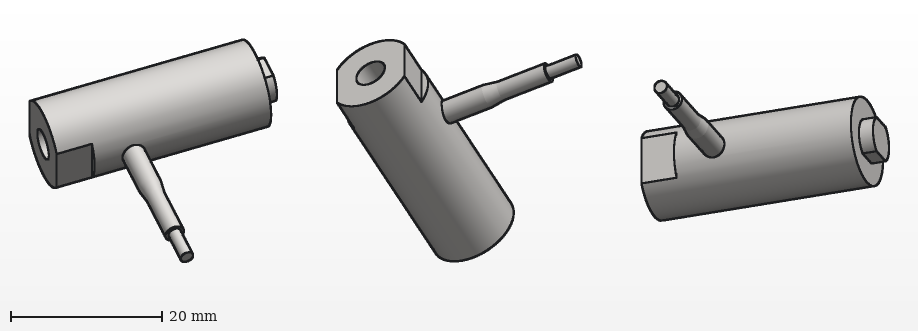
import cadquery as cq
import math

body_diameter = 12.0
body_length = 30.0
total_length = 32.0

wrench_width = 10.0
wrench_length = 5.0

stud_diameter = 6.0
stud_height = 5.0

hole_diameter = 4.22
hole_depth = 8.0
drill_point_angle = 118.0

cable_distance = 10.53
sleeve_diameter = 3.2
sleeve_end = 12.0
taper_end = 14.0
jacket_diameter = 2.62
jacket_end = 21.0
core_diameter = 1.8
core_end = 31.5 - body_diameter / 2

front_y = -total_length / 2
body_back_y = front_y + body_length


def cylinder_y(diameter, start_y, end_y):
    return (
        cq.Workplane("XZ", origin=(0, start_y, 0))
        .circle(diameter / 2)
        .extrude(start_y - end_y)
    )


def make_body():
    body = cylinder_y(body_diameter, front_y + wrench_length, body_back_y)
    wrench_end = cylinder_y(body_diameter, front_y, front_y + wrench_length)
    flats = cq.Workplane("XY").box(wrench_width, 2 * total_length, body_diameter)
    return body.union(wrench_end.intersect(flats))


def make_stud():
    stud = cylinder_y(stud_diameter, body_back_y, front_y + total_length)
    flats = cq.Workplane("XY").box(stud_diameter, 2 * total_length, stud_height)
    return stud.intersect(flats)


def make_hole():
    radius = hole_diameter / 2
    point_depth = radius / math.tan(math.radians(drill_point_angle / 2))
    bottom_y = front_y + hole_depth
    return (
        cq.Workplane("XY")
        .moveTo(0, front_y)
        .lineTo(radius, front_y)
        .lineTo(radius, bottom_y)
        .lineTo(0, bottom_y + point_depth)
        .close()
        .revolve(360, (0, 0, 0), (0, 1, 0))
    )


def make_cable():
    sleeve_start = (hole_diameter + body_diameter) / 4
    return (
        cq.Workplane("XY")
        .moveTo(sleeve_start, 0)
        .lineTo(sleeve_start, sleeve_diameter / 2)
        .lineTo(sleeve_end, sleeve_diameter / 2)
        .lineTo(taper_end, jacket_diameter / 2)
        .lineTo(jacket_end, jacket_diameter / 2)
        .lineTo(jacket_end, core_diameter / 2)
        .lineTo(core_end, core_diameter / 2)
        .lineTo(core_end, 0)
        .close()
        .revolve(360, (0, 0, 0), (1, 0, 0))
        .translate((0, front_y + cable_distance, 0))
    )


result = make_body().union(make_stud()).union(make_cable()).cut(make_hole())